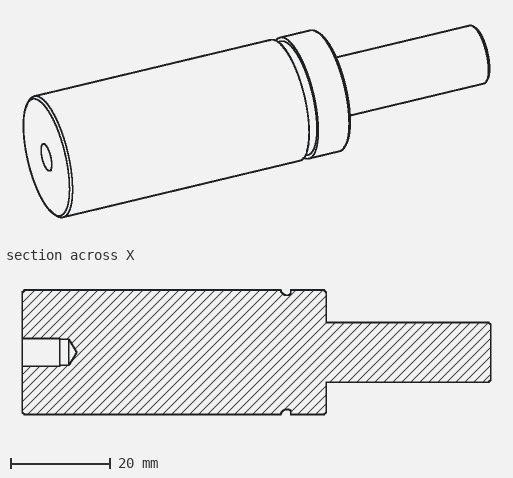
import cadquery as cq
import math

total_length = 94.0
body_diameter = 25.0
rod_diameter = 12.0
body_length = 61.0
edge_chamfer = 0.5

groove_start = 51.9
groove_end = 53.9
groove_deepest = 53.2
groove_depth = 1.0
shoulder_width = 0.75

bore_diameter = 5.5
bore_depth = 7.5
pilot_diameter = 5.2
pilot_depth = 9.4
drill_angle = 118.0


def cylinder_along_y(diameter, start, length):
    plane = cq.Workplane("XZ", origin=(0, start, 0))
    return plane.circle(diameter / 2).extrude(-length)


def make_body():
    body = cylinder_along_y(body_diameter, 0, body_length)
    return body.faces("<Y or >Y").edges().chamfer(edge_chamfer)


def make_rod():
    rod = cylinder_along_y(rod_diameter, body_length, total_length - body_length)
    return rod.faces(">Y").edges().chamfer(edge_chamfer)


def make_groove():
    outer_radius = body_diameter / 2
    return (
        cq.Workplane("XY")
        .moveTo(outer_radius, groove_end)
        .lineTo(outer_radius - shoulder_width, groove_end)
        .threePointArc((outer_radius - groove_depth, groove_deepest), (outer_radius, groove_start))
        .close()
        .revolve(360, (0, 0, 0), (0, 1, 0))
    )


def make_hole():
    bore_radius = bore_diameter / 2
    pilot_radius = pilot_diameter / 2
    tip_depth = pilot_radius / math.tan(math.radians(drill_angle / 2))
    return (
        cq.Workplane("XY")
        .lineTo(bore_radius, 0)
        .lineTo(bore_radius, bore_depth)
        .lineTo(pilot_radius, bore_depth)
        .lineTo(pilot_radius, pilot_depth)
        .lineTo(0, pilot_depth + tip_depth)
        .close()
        .revolve(360, (0, 0, 0), (0, 1, 0))
    )


result = make_body().union(make_rod()).cut(make_groove()).cut(make_hole())